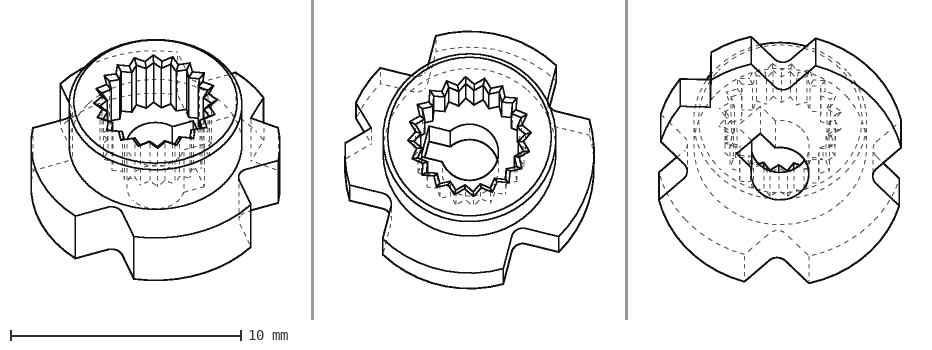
import cadquery as cq
import math

flange_radius = 5.4
flange_height = 2.8
arm_half_width = 2.7
arm_corner_radius = 0.5

boss_diameter = 7.5
boss_chamfer = 0.2
total_height = 5.6

notch_tip_y = 4.4

spline_tooth_count = 20
spline_mouth_radius = 2.68
spline_lead_in_height = 0.2
spline_root_radius = 2.42

bore_radius = 1.25
key_width = 1.4
key_top_y = 1.99


def make_flange():
    """Disc trimmed to a cross whose inner corners are rounded."""
    disc = cq.Workplane("XY").circle(flange_radius).extrude(flange_height)
    arm_width = 2 * arm_half_width
    arm_length = 2 * flange_radius
    arm_along_x = cq.Workplane("XY").rect(arm_length, arm_width).extrude(flange_height)
    arm_along_y = cq.Workplane("XY").rect(arm_width, arm_length).extrude(flange_height)
    cross = arm_along_x.union(arm_along_y)
    reach = (arm_half_width + flange_radius) / 2
    inner_corners = cq.selectors.BoxSelector((-reach, -reach, 0), (reach, reach, flange_height))
    cross = cross.edges("|Z").edges(inner_corners).fillet(arm_corner_radius)
    return cross.intersect(disc)


def make_boss():
    boss_height = total_height - flange_height
    boss = cq.Workplane("XY").workplane(offset=flange_height).circle(boss_diameter / 2).extrude(boss_height)
    return boss.faces(">Z").edges().chamfer(boss_chamfer)


def make_notch():
    """Triangular prism with a 90 degree tip, reaching just past the rim."""
    notch_depth = flange_radius - notch_tip_y
    tip = (0, notch_tip_y)
    right = (notch_depth, flange_radius)
    left = (-notch_depth, flange_radius)
    return cq.Workplane("XY").polyline([tip, right, left]).close().extrude(flange_height)


def spline_outline(root_radius):
    """Star of 90 degree grooves; neighbouring grooves meet in a sharp crest."""
    half_pitch = math.pi / spline_tooth_count
    crest_radius = root_radius / (math.cos(half_pitch) + math.sin(half_pitch))
    points = []
    for tooth in range(spline_tooth_count):
        root_angle = 2 * half_pitch * tooth
        crest_angle = root_angle + half_pitch
        points.append((root_radius * math.cos(root_angle), root_radius * math.sin(root_angle)))
        points.append((crest_radius * math.cos(crest_angle), crest_radius * math.sin(crest_angle)))
    return points


def make_spline():
    """Straight spline up from the flange top, widening to the mouth over the lead-in."""
    lead_in_base = total_height - spline_lead_in_height
    straight = (
        cq.Workplane("XY")
        .workplane(offset=flange_height)
        .polyline(spline_outline(spline_root_radius))
        .close()
        .extrude(lead_in_base - flange_height)
    )
    lead_in = (
        cq.Workplane("XY")
        .workplane(offset=lead_in_base)
        .polyline(spline_outline(spline_root_radius))
        .close()
        .workplane(offset=spline_lead_in_height)
        .polyline(spline_outline(spline_mouth_radius))
        .close()
        .loft(ruled=True)
    )
    return straight.union(lead_in)


def make_keyed_bore():
    bore = cq.Workplane("XY").circle(bore_radius).extrude(flange_height)
    key = cq.Workplane("XY").center(0, key_top_y / 2).rect(key_width, key_top_y).extrude(flange_height)
    return bore.union(key)


body = make_flange().union(make_boss())
result = body.cut(make_notch()).cut(make_spline()).cut(make_keyed_bore())